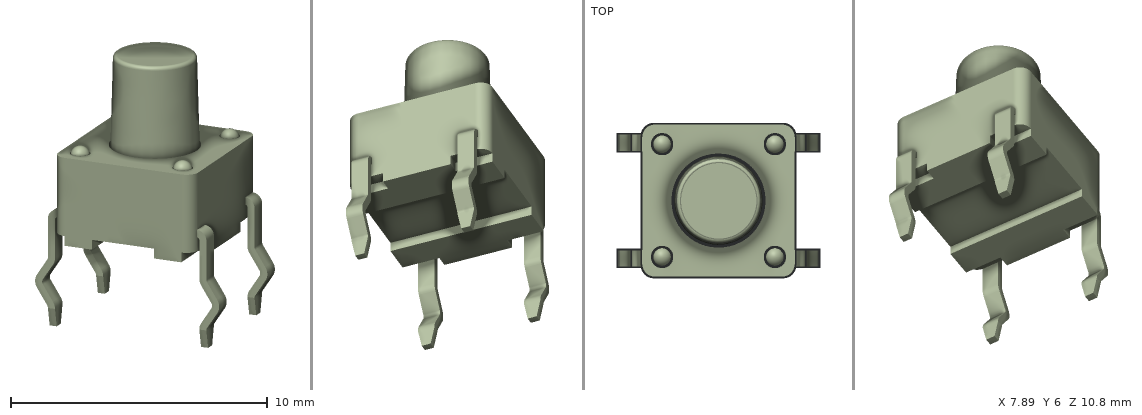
import cadquery as cq
import math


HOUSING_SIDE = 6.0
HOUSING_BOTTOM = 3.55
HOUSING_HEIGHT = 3.6
HOUSING_TOP = HOUSING_BOTTOM + HOUSING_HEIGHT
CORNER_RADIUS = 0.5
CHANNEL_WIDTH = 2.65
UNDERCUT_HEIGHT = 0.4
TAB_WIDTH = 2.88

RECESS_DEPTH = 0.4
RECESS_FLOOR = HOUSING_TOP - RECESS_DEPTH
BUTTON_RECESS_DIAMETER = 3.6
RIVET_RECESS_DIAMETER = 0.8

RIVET_SPACING = 4.39
RIVET_DIAMETER = 0.75
RIVET_DOME_HEIGHT = 0.29

LEG_THICKNESS = 0.3
LEG_WIDTH = 0.7
LEG_SPACING = 4.5
LEG_TOP = 4.83
LEG_OUTER_X = 3.4
LEG_SPAN = 7.89
LEG_EMBED = 0.16
KINK_Z = 1.8
KINK_ANGLE = 33.3
TIP_WIDTH = 0.38
TIP_HEIGHT = 0.76
SHOULDER_OUTER_RADIUS = 0.4
KINK_OUTER_RADIUS = 0.5

BUTTON_TOP = 10.85
BUTTON_BASE_DIAMETER = 3.5
BUTTON_TOP_DIAMETER = 3.28
BUTTON_EDGE_RADIUS = 0.15


def housing_block():
    """Box with rounded corners and a relieved underside."""
    block = (
        cq.Workplane("XY", origin=(0, 0, HOUSING_BOTTOM))
        .rect(HOUSING_SIDE, HOUSING_SIDE)
        .extrude(HOUSING_HEIGHT)
        .edges("|Z")
        .fillet(CORNER_RADIUS)
    )
    underside = cq.Workplane("XY", origin=(0, 0, HOUSING_BOTTOM))
    channel = underside.rect(CHANNEL_WIDTH, HOUSING_SIDE).extrude(UNDERCUT_HEIGHT)
    notch_pitch_y = (HOUSING_SIDE + TAB_WIDTH) / 2
    notches = (
        underside.rect(HOUSING_SIDE, notch_pitch_y, forConstruction=True)
        .vertices()
        .rect(2 * CORNER_RADIUS, (HOUSING_SIDE - TAB_WIDTH) / 2)
        .extrude(UNDERCUT_HEIGHT)
    )
    return block.cut(channel).cut(notches)


def at_rivets(workplane):
    """The four rivet centres as points on the workplane."""
    return workplane.rect(RIVET_SPACING, RIVET_SPACING, forConstruction=True).vertices()


def top_recesses():
    """Pockets for the button and the four rivets."""
    floor = cq.Workplane("XY", origin=(0, 0, RECESS_FLOOR))
    button_recess = floor.circle(BUTTON_RECESS_DIAMETER / 2).extrude(RECESS_DEPTH)
    rivet_recesses = at_rivets(floor).circle(RIVET_RECESS_DIAMETER / 2).extrude(RECESS_DEPTH)
    return button_recess.union(rivet_recesses)


def rivets():
    """Four posts on the recess floors, each domed above the housing top."""
    radius = RIVET_DIAMETER / 2
    dome_radius = (radius**2 + RIVET_DOME_HEIGHT**2) / (2 * RIVET_DOME_HEIGHT)
    rivet = (
        cq.Workplane("XZ")
        .lineTo(radius, 0)
        .lineTo(radius, RECESS_DEPTH)
        .radiusArc((0, RECESS_DEPTH + RIVET_DOME_HEIGHT), -dome_radius)
        .close()
        .revolve(360, (0, 0, 0), (0, 1, 0))
        .val()
    )
    floor = cq.Workplane("XY", origin=(0, 0, RECESS_FLOOR))
    return at_rivets(floor).eachpoint(lambda place: rivet.located(place))


def leg_path():
    """Centre line of the leg on the +X side: out of the wall, down, and around the kink."""
    half_thickness = LEG_THICKNESS / 2
    wall_x = HOUSING_SIDE / 2 - LEG_EMBED
    leg_x = LEG_OUTER_X - half_thickness
    shoulder_z = LEG_TOP - half_thickness
    shoulder_radius = SHOULDER_OUTER_RADIUS - half_thickness
    kink_radius = KINK_OUTER_RADIUS - half_thickness
    kink_angle = math.radians(KINK_ANGLE)

    kink_x = LEG_SPAN / 2 - half_thickness + kink_radius * (1 / math.cos(kink_angle) - 1)
    kink_rise = (kink_x - leg_x) / math.tan(kink_angle)
    points = [
        cq.Vector(wall_x, 0, shoulder_z),
        cq.Vector(leg_x, 0, shoulder_z),
        cq.Vector(leg_x, 0, KINK_Z + kink_rise),
        cq.Vector(kink_x, 0, KINK_Z),
        cq.Vector(leg_x, 0, KINK_Z - kink_rise),
        cq.Vector(leg_x, 0, 0),
    ]
    path = cq.Wire.makePolygon(points)
    shoulder, *kink_corners = path.Vertices()[1:-1]
    return path.fillet2D(kink_radius, kink_corners).fillet2D(shoulder_radius, [shoulder])


def leg():
    """Bent strip on the +X side, centred on Y = 0, with a tapered tip."""
    path = leg_path()
    strip = (
        cq.Workplane("YZ", origin=path.startPoint().toTuple())
        .rect(LEG_WIDTH, LEG_THICKNESS)
        .sweep(path)
    )
    taper_outline = (
        cq.Workplane("YZ")
        .moveTo(-TIP_WIDTH / 2, 0)
        .lineTo(TIP_WIDTH / 2, 0)
        .lineTo(LEG_WIDTH / 2, TIP_HEIGHT)
        .lineTo(LEG_WIDTH / 2, LEG_TOP)
        .lineTo(-LEG_WIDTH / 2, LEG_TOP)
        .lineTo(-LEG_WIDTH / 2, TIP_HEIGHT)
        .close()
        .extrude(LEG_SPAN / 2)
    )
    return strip.intersect(taper_outline)


def make_housing():
    """Housing block, rivets and four legs as one solid."""
    housing = housing_block().cut(top_recesses()).union(rivets())
    for y in (-LEG_SPACING / 2, LEG_SPACING / 2):
        right_leg = leg().translate((0, y, 0))
        housing = housing.union(right_leg).union(right_leg.mirror("YZ"))
    return housing


def make_button():
    """Tapered plunger standing on the floor of the housing recess."""
    return (
        cq.Workplane("XZ")
        .moveTo(0, RECESS_FLOOR)
        .lineTo(BUTTON_BASE_DIAMETER / 2, RECESS_FLOOR)
        .lineTo(BUTTON_TOP_DIAMETER / 2, BUTTON_TOP)
        .lineTo(0, BUTTON_TOP)
        .close()
        .revolve(360, (0, 0, 0), (0, 1, 0))
        .faces(">Z")
        .edges()
        .fillet(BUTTON_EDGE_RADIUS)
    )


housing = make_housing()
button = make_button()
result = cq.Compound.makeCompound([housing.val(), button.val()])